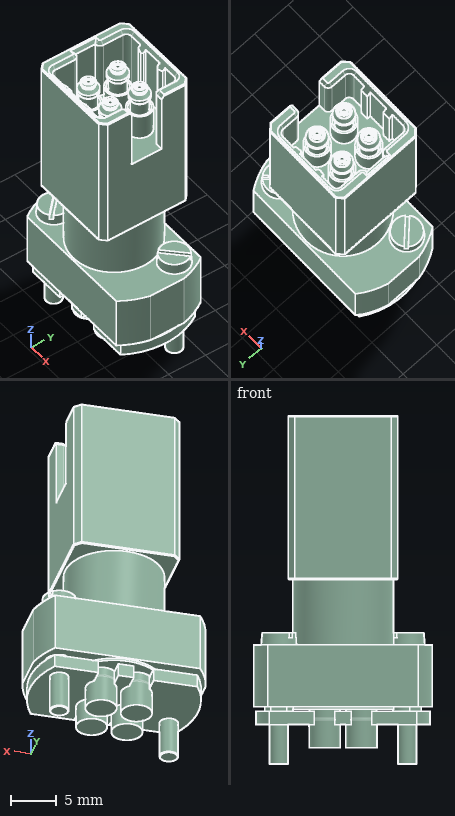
import cadquery as cq
import math

total_height = 38.05

shell_width = 12.0
shell_bottom_z = 20.15
shell_corner_chamfer = 0.72
shell_edge_chamfer = 0.1

cavity_half_x = 4.6
cavity_half_y = 5.25
cavity_floor_z = 30.05
cavity_corner_radius = 0.65
mouth_radius = 0.6
key_groove_half_width = 1.35
key_groove_depth = 0.65
side_slot_half_width = 2.0
lead_in_width = 0.4
lead_in_depth = 0.45
rib_spacing = 3.55
rib_width = 1.0
rib_height = 0.45
rib_shoulder_height = 0.3
rib_point_offset = 0.7

neck_radius = 5.5
flange_length = 19.5
flange_width = 11.5
flange_end_radius = 10.0
flange_bottom_z = 6.28
flange_top_z = 13.05
step_radius = 5.55
step_height = 0.25

plate_radius = 9.5
plate_width = 10.12
plate_bottom_z = 4.35
plate_top_z = 5.82
plate_slot_width = 2.25

contact_pitch = 4.0
barrel_bottom_z = 1.8
barrel_shoulder_z = 4.87
barrel_radius = 1.7
barrel_upper_radius = 1.67
barrel_chamfer_height = 0.2
base_radius = 1.52
base_bore_radius = 1.3
base_bore_depth = 1.15
base_top_z = 33.35
stem_radius = 1.03
collar_radius = 1.25
collar_bottom_z = 34.7
collar_lower_edge_z = 35
collar_upper_edge_z = 35.45
collar_top_z = 35.85
tip_neck_radius = 0.75
tip_neck_top_z = 36.15
tip_radius = 0.88
tip_bevel_z = 36.35
tip_top_z = 36.53
tip_bore_radius = 0.7
tip_bore_depth = 1.15
pin_radius = 0.4
pin_bore_radius = 0.25
pin_top_drop = 0.2

screw_x = 7.0
screw_y = 3.0
shank_radius = 1.03
shank_chamfer = 0.08
head_height = 1.35
head_base_radius = 1.95
head_top_radius = 1.83
driver_slot_width = 0.45
driver_slot_depth = 0.57
retainer_radius = 1.55
retainer_flat_width = 2.6


def cylinder(radius, bottom_z, top_z, x=0, y=0):
    """Vertical cylinder between two heights."""
    return cq.Workplane("XY", origin=(x, y, bottom_z)).circle(radius).extrude(top_z - bottom_z)


def block(length, width, bottom_z, top_z, x=0, y=0):
    """Rectangular block between two heights, centred on (x, y)."""
    base = cq.Workplane("XY", origin=(x, y, bottom_z))
    return base.rect(length, width).extrude(top_z - bottom_z)


def cavity_outline(grow):
    """Cavity section with a key groove at -X and an open slot at +X, walls moved out by grow."""
    half_x = cavity_half_x + grow
    half_y = cavity_half_y + grow
    groove_x = half_x + key_groove_depth
    groove_y = key_groove_half_width + grow
    slot_x = shell_width / 2 + lead_in_width + grow
    slot_y = side_slot_half_width + grow
    room_corners = [(-half_x, half_y), (half_x, half_y), (half_x, -half_y), (-half_x, -half_y)]
    mouth_corners = [(half_x, slot_y), (half_x, -slot_y), (-half_x, -groove_y), (-half_x, groove_y)]
    outline = [
        *room_corners[:2],
        mouth_corners[0],
        (slot_x, slot_y),
        (slot_x, -slot_y),
        mouth_corners[1],
        *room_corners[2:],
        mouth_corners[2],
        (-groove_x, -groove_y),
        (-groove_x, groove_y),
        mouth_corners[3],
    ]
    sketch = cq.Sketch().polygon([*outline, outline[0]])
    roundings = (
        (room_corners, cavity_corner_radius + grow),
        (mouth_corners, mouth_radius - grow),
    )
    for corners, radius in roundings:
        for x, y in corners:
            sketch = sketch.reset().vertices(cq.NearestToPointSelector((x, y, 0))).fillet(radius)
    return sketch.reset()


def make_rib(x, wall_side):
    """Guide rib on a Y wall; its top continues the slope of the cavity lead-in."""
    tip_y = cavity_half_y - rib_height
    wall_z = total_height - lead_in_depth
    tip_z = wall_z - rib_height * lead_in_depth / lead_in_width
    profile = [
        (wall_side * cavity_half_y, cavity_floor_z),
        (wall_side * tip_y, cavity_floor_z),
        (wall_side * tip_y, tip_z),
        (wall_side * cavity_half_y, wall_z),
    ]
    start = cq.Workplane("YZ", origin=(x - rib_width / 2, 0, 0))
    return start.polyline(profile).close().extrude(rib_width)


def make_point_envelope(x):
    """Prism that trims a rib on the +Y wall to a point lying toward the part's centre plane."""
    outward = math.copysign(1, x)
    outer_x = x + outward * rib_width / 2
    inner_x = x - outward * rib_width / 2
    shoulder_y = cavity_half_y - rib_shoulder_height
    section = [
        (outer_x, cavity_half_y),
        (outer_x, shoulder_y),
        (outer_x - outward * rib_point_offset, cavity_half_y - rib_height),
        (inner_x, shoulder_y),
        (inner_x, cavity_half_y),
    ]
    start = cq.Workplane("XY", origin=(0, 0, cavity_floor_z))
    return start.polyline(section).close().extrude(total_height - cavity_floor_z)


def make_shell():
    """Square socket with its keyed, ribbed cavity."""
    shell = block(shell_width, shell_width, shell_bottom_z, total_height)
    shell = shell.edges("|Z").chamfer(shell_corner_chamfer)
    shell = shell.faces("<Z or >Z").edges().chamfer(shell_edge_chamfer)
    lead_in_z = total_height - lead_in_depth
    room = cq.Workplane("XY", origin=(0, 0, cavity_floor_z)).placeSketch(cavity_outline(0))
    room = room.extrude(total_height - cavity_floor_z)
    lead_in = cq.Workplane("XY", origin=(0, 0, lead_in_z)).placeSketch(
        cavity_outline(0),
        cavity_outline(lead_in_width).moved(cq.Location(cq.Vector(0, 0, lead_in_depth))),
    )
    shell = shell.cut(room).cut(lead_in.loft(ruled=True))
    for x in (-rib_spacing / 2, rib_spacing / 2):
        shell = shell.union(make_rib(x, -1))
        shell = shell.union(make_rib(x, 1).intersect(make_point_envelope(x)))
    return shell


def make_body():
    """Neck, flange with rounded ends, and the shallow round step below it."""
    flange = block(flange_length, flange_width, flange_bottom_z, flange_top_z)
    flange = flange.intersect(cylinder(flange_end_radius, flange_bottom_z, flange_top_z))
    neck = cylinder(neck_radius, flange_top_z, shell_bottom_z)
    step = cylinder(step_radius, flange_bottom_z - step_height, flange_bottom_z)
    return flange.union(neck).union(step)


def make_plate():
    """Retaining plate with a slot from each long edge to each contact barrel."""
    plate = cylinder(plate_radius, plate_bottom_z, plate_top_z)
    plate = plate.intersect(block(2 * plate_radius, plate_width, plate_bottom_z, plate_top_z))
    slot_length = plate_width / 2 - contact_pitch / 2
    slot_y = (plate_width / 2 + contact_pitch / 2) / 2
    for x in (-contact_pitch / 2, contact_pitch / 2):
        for y in (-contact_pitch / 2, contact_pitch / 2):
            plate = plate.cut(cylinder(barrel_radius, plate_bottom_z, plate_top_z, x, y))
            slot_center_y = math.copysign(slot_y, y)
            plate = plate.cut(
                block(plate_slot_width, slot_length, plate_bottom_z, plate_top_z, x, slot_center_y)
            )
    return plate


def make_barrel(x, y):
    """Rear end of a contact, running up into the flange."""
    shoulder_top_z = barrel_shoulder_z + barrel_chamfer_height
    profile = [
        (0, barrel_bottom_z),
        (barrel_radius, barrel_bottom_z),
        (barrel_radius, barrel_shoulder_z),
        (barrel_upper_radius, shoulder_top_z),
        (barrel_upper_radius, flange_bottom_z),
        (0, flange_bottom_z),
    ]
    barrel = cq.Workplane("XZ").polyline(profile).close().revolve(360, (0, 0), (0, 1))
    return barrel.translate((x, y, 0))


def make_contact(x, y):
    """Mating end of a contact: sleeved base, stem, bevelled collar and a tubular tip around a pin."""
    base_bore_floor_z = base_top_z - base_bore_depth
    tip_floor_z = tip_top_z - tip_bore_depth
    pin_top_z = tip_top_z - pin_top_drop
    profile = [
        (0, cavity_floor_z),
        (base_radius, cavity_floor_z),
        (base_radius, base_top_z),
        (base_bore_radius, base_top_z),
        (base_bore_radius, base_bore_floor_z),
        (stem_radius, base_bore_floor_z),
        (stem_radius, collar_bottom_z),
        (collar_radius, collar_lower_edge_z),
        (collar_radius, collar_upper_edge_z),
        (tip_neck_radius, collar_top_z),
        (tip_neck_radius, tip_neck_top_z),
        (tip_radius, tip_neck_top_z),
        (tip_radius, tip_bevel_z),
        (tip_bore_radius, tip_top_z),
        (tip_bore_radius, tip_floor_z),
        (pin_radius, tip_floor_z),
        (pin_radius, pin_top_z),
        (pin_bore_radius, pin_top_z),
        (pin_bore_radius, tip_floor_z),
        (0, tip_floor_z),
    ]
    contact = cq.Workplane("XZ").polyline(profile).close().revolve(360, (0, 0), (0, 1))
    return contact.translate((x, y, 0))


def make_screw(x, y, slot_angle, retainer_angle):
    """Slotted screw with a flatted retainer between flange and plate."""
    head_top_z = flange_top_z + head_height
    shank = cylinder(shank_radius, 0, flange_top_z).faces("<Z").chamfer(shank_chamfer)
    head = cq.Workplane("XY", origin=(0, 0, flange_top_z)).circle(head_base_radius)
    head = head.workplane(offset=head_height).circle(head_top_radius).loft()
    driver_slot = block(
        2 * head_base_radius, driver_slot_width, head_top_z - driver_slot_depth, head_top_z
    )
    head = head.cut(driver_slot.rotate((0, 0, 0), (0, 0, 1), slot_angle))
    retainer = cylinder(retainer_radius, plate_top_z, flange_bottom_z)
    flats = block(2 * retainer_radius, retainer_flat_width, plate_top_z, flange_bottom_z)
    retainer = retainer.intersect(flats).rotate((0, 0, 0), (0, 0, 1), retainer_angle)
    return shank.union(head).union(retainer).translate((x, y, 0))


result = make_body().union(make_shell()).union(make_plate())
for contact_x in (-contact_pitch / 2, contact_pitch / 2):
    for contact_y in (-contact_pitch / 2, contact_pitch / 2):
        result = result.union(make_barrel(contact_x, contact_y))
        result = result.union(make_contact(contact_x, contact_y))
result = result.union(make_screw(-screw_x, -screw_y, -45, 0))
result = result.union(make_screw(screw_x, screw_y, 45, 45))